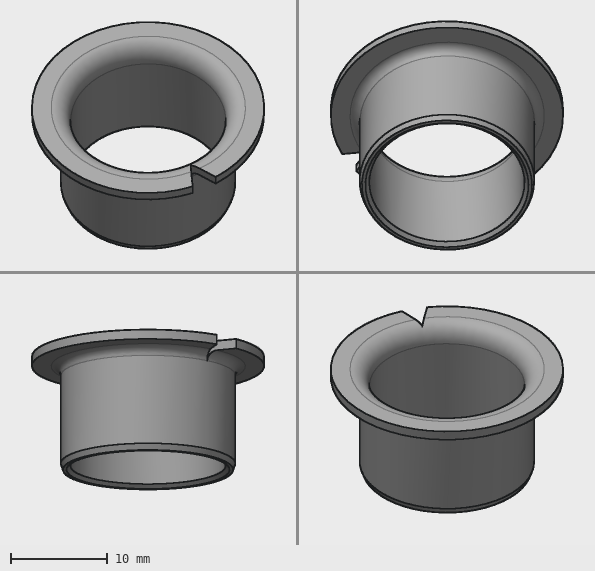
import cadquery as cq
import math

flange_diameter = 23.95
height = 12.0
wall = 1.0
sleeve_radius = 9.0
bend_radius = 1.0
bore_chamfer = 0.4
chamfer_height = 0.65
chamfer_angle = 20.0
notch_half_angle = 25.0

flange_radius = flange_diameter / 2
bore_radius = sleeve_radius - wall
mouth_radius = bend_radius + wall
bend_center_r = sleeve_radius + bend_radius
bend_center_z = height - mouth_radius
chamfer_width = chamfer_height * math.tan(math.radians(chamfer_angle))
diagonal = math.sqrt(0.5)


def make_bushing():
    """Revolve the wall section; both bend arcs share one center."""
    mouth_mid = (bend_center_r - mouth_radius * diagonal, bend_center_z + mouth_radius * diagonal)
    bend_mid = (bend_center_r - bend_radius * diagonal, bend_center_z + bend_radius * diagonal)
    section = (
        cq.Workplane("XZ")
        .moveTo(bore_radius + bore_chamfer, 0)
        .lineTo(bore_radius, bore_chamfer)
        .lineTo(bore_radius, bend_center_z)
        .threePointArc(mouth_mid, (bend_center_r, height))
        .lineTo(flange_radius, height)
        .lineTo(flange_radius, height - wall)
        .lineTo(bend_center_r, height - wall)
        .threePointArc(bend_mid, (sleeve_radius, bend_center_z))
        .lineTo(sleeve_radius, chamfer_height)
        .lineTo(sleeve_radius - chamfer_width, 0)
        .close()
    )
    return section.revolve(360, (0, 0, 0), (0, 1, 0))


def make_notch():
    """V-shaped cutter on the +X side, with its tip on the sleeve's outer surface."""
    length = flange_radius
    half_width = length * math.tan(math.radians(notch_half_angle))
    return (
        cq.Workplane("XY")
        .workplane(offset=bend_center_z)
        .moveTo(sleeve_radius, 0)
        .lineTo(sleeve_radius + length, -half_width)
        .lineTo(sleeve_radius + length, half_width)
        .close()
        .extrude(mouth_radius)
    )


result = make_bushing().cut(make_notch())